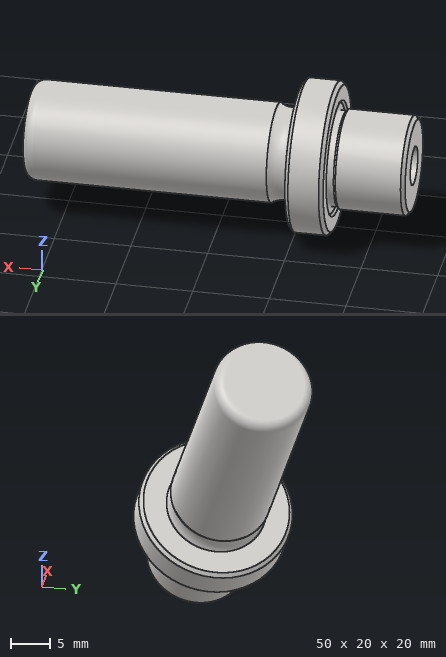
import cadquery as cq
import math

total_length = 50.0
shank_radius = 6.5
collar_radius = 10.0
collar_start = 10.0
collar_width = 5.0
collar_end = collar_start + collar_width
edge_chamfer = 0.5
tail_round = 1.5

undercut_length = 1.0
undercut_depth = 0.3
undercut_fillet = 0.3
undercut_outer_radius = 7.5
neck_radius = shank_radius - undercut_depth
undercut_start = collar_start - undercut_length
undercut_floor = collar_start + undercut_depth

groove_width = 3.0
groove_depth = 0.5
groove_end = collar_end + groove_width

hole_radius = 2.5
hole_depth = 15.0
drill_point_angle = 118.0

diagonal = math.sqrt(0.5)
fillet_center_x = undercut_floor - undercut_fillet
fillet_center_radius = neck_radius + undercut_fillet
fillet_middle = (
    fillet_center_x + undercut_fillet * diagonal,
    fillet_center_radius - undercut_fillet * diagonal,
)
tail_round_middle = (
    total_length - tail_round * (1 - diagonal),
    shank_radius - tail_round * (1 - diagonal),
)


def turned_body():
    """Half profile, axial position against radius, revolved about X."""
    profile = (
        cq.Workplane("XY")
        .moveTo(0, 0)
        .lineTo(0, shank_radius - edge_chamfer)
        .lineTo(edge_chamfer, shank_radius)
        .lineTo(undercut_start, shank_radius)
        .lineTo(undercut_start + undercut_depth, neck_radius)
        .lineTo(fillet_center_x, neck_radius)
        .threePointArc(fillet_middle, (undercut_floor, fillet_center_radius))
        .lineTo(undercut_floor, undercut_outer_radius - undercut_depth)
        .lineTo(collar_start, undercut_outer_radius)
        .lineTo(collar_start, collar_radius - edge_chamfer)
        .lineTo(collar_start + edge_chamfer, collar_radius)
        .lineTo(collar_end - edge_chamfer, collar_radius)
        .lineTo(collar_end, collar_radius - edge_chamfer)
        .lineTo(collar_end, shank_radius)
        .threePointArc(
            (collar_end + groove_width / 2, shank_radius - groove_depth),
            (groove_end, shank_radius),
        )
        .lineTo(total_length - tail_round, shank_radius)
        .threePointArc(tail_round_middle, (total_length, shank_radius - tail_round))
        .lineTo(total_length, 0)
        .close()
    )
    return profile.revolve(360, (0, 0, 0), (1, 0, 0))


def drilled_hole():
    """Cylinder with a conical drill point, along X from the front face."""
    point_length = hole_radius / math.tan(math.radians(drill_point_angle / 2))
    profile = (
        cq.Workplane("XY")
        .moveTo(0, 0)
        .lineTo(0, hole_radius)
        .lineTo(hole_depth, hole_radius)
        .lineTo(hole_depth + point_length, 0)
        .close()
    )
    return profile.revolve(360, (0, 0, 0), (1, 0, 0))


result = turned_body().cut(drilled_hole())